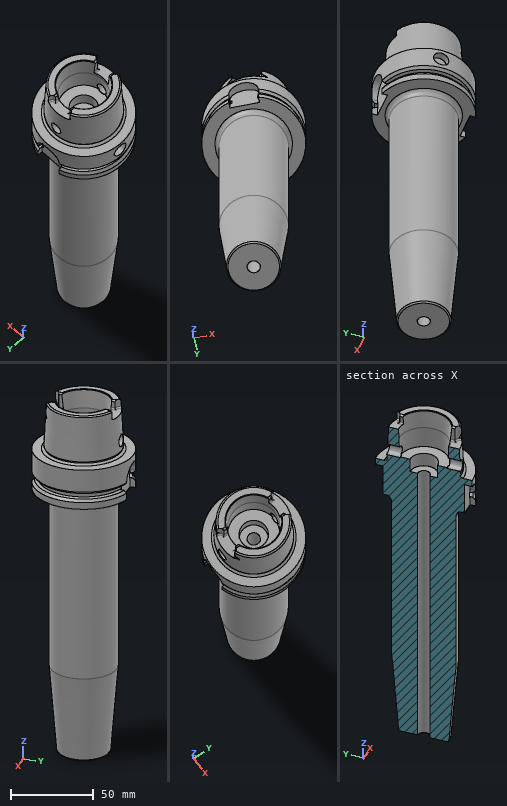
import cadquery as cq

LENGTH = 232.0

SHANK_HEIGHT = 31.5
SHANK_TOP_DIAMETER = 45.5
SHANK_TOP_RADIUS = SHANK_TOP_DIAMETER / 2
SHANK_BASE_RADIUS = 24.1
RIM_CHAMFER_WIDTH = 1.2
RIM_CHAMFER_HEIGHT = 0.7
RELIEF_RADIUS = 23.7
RELIEF_FOOT_RADIUS = 25.5
RELIEF_HEIGHT = 2.0

FLANGE_DIAMETER = 62.8
FLANGE_RADIUS = FLANGE_DIAMETER / 2
FLANGE_HEIGHT = 26.0
GROOVE_ROOT_RADIUS = 27.5
GROOVE_TOP_DROP = 14.5
GROOVE_LIP_WIDTH = 1.6
GROOVE_LIP_HEIGHT = 1.6
GROOVE_LEDGE_RISE = 0.5
GROOVE_ROOT_WIDTH = 2.8

SHAFT_DIAMETER = 42.0
SHAFT_RADIUS = SHAFT_DIAMETER / 2
SHAFT_FILLET_WIDTH = 2.3
SHAFT_FILLET_HEIGHT = 4.2
NOSE_HEIGHT = 56.8
NOSE_DIAMETER = 33.0
NOSE_RADIUS = NOSE_DIAMETER / 2
NOSE_CHAMFER = 1.0

CAVITY_MOUTH_RADIUS = 17.5
CAVITY_CHAMFER = 0.5
CAVITY_RADIUS = 15.8
CAVITY_TAPER_DEPTH = 12.0
CAVITY_DEPTH = 26.2
TUBE_SEAT_RADIUS = 8.8
TUBE_SEAT_DEPTH = 9.3
THROUGH_RADIUS = 4.0

SLOT_HALF_WIDTH = 6.0
SLOT_FLAT_DISTANCE = 20.9
SLOT_EDGE_ROUND = 3.0
SLOT_FLOOR_FILLET = 1.0
SLOT_TOP_CHAMFER_WIDTH = 1.5
SLOT_TOP_CHAMFER_HEIGHT = 1.0
FRONT_SLOT_DEPTH = 10.2
BACK_SLOT_DEPTH = 5.8
RELIEF_CUT_START = 6.0
RELIEF_CUT_END = 9.0
RELIEF_CUT_SET_IN = 1.5

ACCESS_DIAMETER = 7.7
ACCESS_RADIUS = ACCESS_DIAMETER / 2
ACCESS_DROP = 23.0
ACCESS_INNER_DISTANCE = 15.0

KEYWAY_RADIUS = 9.0
KEYWAY_DROP = 14.0
KEYWAY_FLOOR_DISTANCE = 26.5
CHIP_RADIUS = 4.9
CHIP_DROP = 7.2
CHIP_DEPTH = 4.6

FLANGE_TOP = LENGTH - SHANK_HEIGHT
FLANGE_BOTTOM = FLANGE_TOP - FLANGE_HEIGHT
CLEARANCE = FLANGE_DIAMETER


def revolve_about_z(profile):
    return profile.revolve(360, (0, 0, 0), (0, 1, 0))


def turned_body():
    groove_top = FLANGE_TOP - GROOVE_TOP_DROP
    upper_lip = groove_top - GROOVE_LIP_HEIGHT
    root_top = upper_lip - GROOVE_LEDGE_RISE
    root_bottom = root_top - GROOVE_ROOT_WIDTH
    lower_lip = root_bottom - GROOVE_LEDGE_RISE
    groove_bottom = lower_lip - GROOVE_LIP_HEIGHT
    lip_radius = FLANGE_RADIUS - GROOVE_LIP_WIDTH
    profile = (
        cq.Workplane("XZ")
        .lineTo(NOSE_RADIUS - NOSE_CHAMFER, 0)
        .lineTo(NOSE_RADIUS, NOSE_CHAMFER)
        .lineTo(SHAFT_RADIUS, NOSE_HEIGHT)
        .lineTo(SHAFT_RADIUS, FLANGE_BOTTOM - SHAFT_FILLET_HEIGHT)
        .tangentArcPoint((SHAFT_RADIUS + SHAFT_FILLET_WIDTH, FLANGE_BOTTOM), relative=False)
        .lineTo(FLANGE_RADIUS, FLANGE_BOTTOM)
        .lineTo(FLANGE_RADIUS, groove_bottom)
        .lineTo(lip_radius, lower_lip)
        .lineTo(GROOVE_ROOT_RADIUS, root_bottom)
        .lineTo(GROOVE_ROOT_RADIUS, root_top)
        .lineTo(lip_radius, upper_lip)
        .lineTo(FLANGE_RADIUS, groove_top)
        .lineTo(FLANGE_RADIUS, FLANGE_TOP)
        .lineTo(RELIEF_FOOT_RADIUS, FLANGE_TOP)
        .lineTo(RELIEF_RADIUS, FLANGE_TOP + RELIEF_HEIGHT / 2)
        .lineTo(SHANK_BASE_RADIUS, FLANGE_TOP + RELIEF_HEIGHT)
        .lineTo(SHANK_TOP_RADIUS, LENGTH - RIM_CHAMFER_HEIGHT)
        .lineTo(SHANK_TOP_RADIUS - RIM_CHAMFER_WIDTH, LENGTH)
        .lineTo(0, LENGTH)
        .close()
    )
    return revolve_about_z(profile)


def stepped_bore():
    floor = LENGTH - CAVITY_DEPTH
    seat = floor - TUBE_SEAT_DEPTH
    taper_end = LENGTH - CAVITY_TAPER_DEPTH
    profile = (
        cq.Workplane("XZ")
        .lineTo(THROUGH_RADIUS, 0)
        .lineTo(THROUGH_RADIUS, seat)
        .lineTo(TUBE_SEAT_RADIUS, seat)
        .lineTo(TUBE_SEAT_RADIUS, floor)
        .lineTo(CAVITY_RADIUS, floor)
        .lineTo(CAVITY_RADIUS, taper_end)
        .lineTo(CAVITY_MOUTH_RADIUS - CAVITY_CHAMFER, LENGTH - CAVITY_CHAMFER)
        .lineTo(CAVITY_MOUTH_RADIUS, LENGTH)
        .lineTo(0, LENGTH)
        .close()
    )
    return revolve_about_z(profile)


def drive_slot(depth):
    """Cutter for the slot on the -Y side: a straight channel whose outer edges
    are rounded into a flat across the shank."""
    round_start = SLOT_FLAT_DISTANCE - SLOT_EDGE_ROUND
    round_end = SLOT_HALF_WIDTH + SLOT_EDGE_ROUND
    flat_end = SHANK_BASE_RADIUS
    channel = (
        cq.Workplane("XY", origin=(0, 0, LENGTH - depth))
        .moveTo(-SLOT_HALF_WIDTH, 0)
        .lineTo(-SLOT_HALF_WIDTH, -round_start)
        .radiusArc((-round_end, -SLOT_FLAT_DISTANCE), -SLOT_EDGE_ROUND)
        .lineTo(-flat_end, -SLOT_FLAT_DISTANCE)
        .lineTo(-flat_end, -CLEARANCE)
        .lineTo(flat_end, -CLEARANCE)
        .lineTo(flat_end, -SLOT_FLAT_DISTANCE)
        .lineTo(round_end, -SLOT_FLAT_DISTANCE)
        .radiusArc((SLOT_HALF_WIDTH, -round_start), -SLOT_EDGE_ROUND)
        .lineTo(SLOT_HALF_WIDTH, 0)
        .close()
        .extrude(depth)
        .faces("<Z").edges().fillet(SLOT_FLOOR_FILLET)
    )
    chamfer_half_width = SLOT_HALF_WIDTH + SLOT_TOP_CHAMFER_WIDTH
    top_chamfer = (
        cq.Workplane("XZ")
        .moveTo(-SLOT_HALF_WIDTH, LENGTH - SLOT_TOP_CHAMFER_HEIGHT)
        .lineTo(SLOT_HALF_WIDTH, LENGTH - SLOT_TOP_CHAMFER_HEIGHT)
        .lineTo(chamfer_half_width, LENGTH)
        .lineTo(-chamfer_half_width, LENGTH)
        .close()
        .extrude(CLEARANCE)
    )
    return channel.union(top_chamfer)


def sloped_relief():
    """Wedge that runs the flat of the -Y slot deeper towards the slot floor."""
    return (
        cq.Workplane("YZ")
        .moveTo(-SLOT_FLAT_DISTANCE, LENGTH - RELIEF_CUT_START)
        .lineTo(RELIEF_CUT_SET_IN - SLOT_FLAT_DISTANCE, LENGTH - RELIEF_CUT_END)
        .lineTo(-CLEARANCE, LENGTH - RELIEF_CUT_END)
        .lineTo(-CLEARANCE, LENGTH - RELIEF_CUT_START)
        .close()
        .extrude(SHANK_BASE_RADIUS, both=True)
    )


def access_hole():
    return (
        cq.Workplane("XZ", origin=(0, -ACCESS_INNER_DISTANCE, LENGTH - ACCESS_DROP))
        .circle(ACCESS_RADIUS)
        .extrude(CLEARANCE)
    )


def keyway():
    centre = FLANGE_TOP - KEYWAY_DROP
    return (
        cq.Workplane("XZ", origin=(0, -KEYWAY_FLOOR_DISTANCE, 0))
        .moveTo(-KEYWAY_RADIUS, FLANGE_BOTTOM)
        .lineTo(-KEYWAY_RADIUS, centre)
        .threePointArc((0, centre + KEYWAY_RADIUS), (KEYWAY_RADIUS, centre))
        .lineTo(KEYWAY_RADIUS, FLANGE_BOTTOM)
        .close()
        .extrude(CLEARANCE)
    )


def chip_pocket():
    return (
        cq.Workplane("YZ", origin=(CHIP_DEPTH - FLANGE_RADIUS, 0, FLANGE_TOP - CHIP_DROP))
        .circle(CHIP_RADIUS)
        .extrude(-CLEARANCE)
    )


def on_back(cutter):
    return cutter.rotate((0, 0, 0), (0, 0, 1), 180)


result = turned_body().cut(stepped_bore())
result = result.cut(drive_slot(FRONT_SLOT_DEPTH)).cut(on_back(drive_slot(BACK_SLOT_DEPTH)))
result = result.cut(sloped_relief())
for feature in (access_hole(), keyway()):
    result = result.cut(feature).cut(on_back(feature))
result = result.cut(chip_pocket())